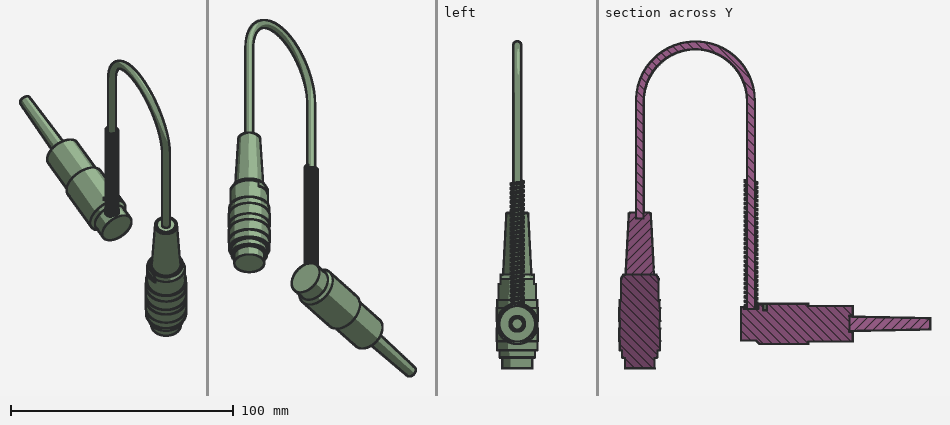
import cadquery as cq
total_height = 146.8
sensor_axis_z = 20.0
plug_axis_x = 130.4
leg_spacing = 49.9
spring_axis_x = plug_axis_x - leg_spacing

stem_length = 36.3
stem_tip_diameter = 5.1
stem_base_diameter = 6.6

sleeve_diameter = 16.0
sleeve_start_x = 34.8
stem_recess_diameter = 7.0
sleeve_end_x = 54.8
barrel_diameter = 18.2
barrel_end_x = 78.2
barrel_chamfer_length = 1.6
cap_diameter = 15.1
cap_end_x = 85.0
vent_x = 74.1
vent_diameter = 1.5
vent_depth = 3.0

spring_diameter = 6.0
wire_diameter = 0.9
spring_pitch = 2.0
spring_turns = 28.5
spring_start_angle = 180
spring_bottom_z = 26.7
spring_socket_diameter = 6.5

cable_diameter = 3.7
bend_radius = leg_spacing / 2
bend_center_z = total_height - cable_diameter / 2 - bend_radius

nose_diameter = 13.5
nose_top_z = 4.5
collar_diameter = 16.0
collar_chamfer = 0.5
collar_top_z = 8.0
ring_diameter = 18.2
edge_chamfer = 0.3
ring_top_z = 12.0
grip_diameter = 18.5
groove_diameter = 18.0
groove_bottom_z = 17.9
groove_top_z = 21.1
grip_top_z = 27.0
band_top_z = 30.7
nut_diameter = 17.0
nut_top_diameter = 14.8
nut_chamfer_height = 1.9
plug_top_z = 42.0
flat_spacing = 15.1
flat_bottom_z = 37.9

boot_top_z = 70.0
boot_bottom_diameter = 12.9
boot_top_diameter = 10.0
boot_rim_diameter = 8.4
boot_chamfer_height = 0.6
cable_socket_depth = 3.0
cable_end_z = boot_top_z - cable_socket_depth


def turned_along_x(profile):
    """Solid of revolution about the sensor axis, from (x, radius) points."""
    return (
        cq.Workplane("XZ", origin=(0, 0, sensor_axis_z))
        .polyline(profile)
        .close()
        .revolve(360, (0, 0, 0), (1, 0, 0))
    )


def turned_along_z(profile):
    """Solid of revolution about the plug axis, from (radius, z) points."""
    return (
        cq.Workplane("XZ", origin=(plug_axis_x, 0, 0))
        .polyline(profile)
        .close()
        .revolve(360, (0, 0, 0), (0, 1, 0))
    )


def upright_cylinder(axis_x, diameter, bottom_z, top_z):
    return cq.Workplane("XY", origin=(axis_x, 0, bottom_z)).circle(diameter / 2).extrude(top_z - bottom_z)


def make_stem():
    return turned_along_x([
        (0, 0),
        (0, stem_tip_diameter / 2),
        (stem_length, stem_base_diameter / 2),
        (stem_length, 0),
    ])


def make_sensor_body():
    body = turned_along_x([
        (stem_length, 0),
        (stem_length, stem_recess_diameter / 2),
        (sleeve_start_x, stem_recess_diameter / 2),
        (sleeve_start_x, sleeve_diameter / 2),
        (sleeve_end_x, sleeve_diameter / 2),
        (sleeve_end_x, barrel_diameter / 2),
        (barrel_end_x - barrel_chamfer_length, barrel_diameter / 2),
        (barrel_end_x, cap_diameter / 2),
        (cap_end_x, cap_diameter / 2),
        (cap_end_x, 0),
    ])
    barrel_top_z = sensor_axis_z + barrel_diameter / 2
    spring_socket = upright_cylinder(spring_axis_x, spring_socket_diameter, spring_bottom_z, barrel_top_z)
    vent = upright_cylinder(vent_x, vent_diameter, barrel_top_z - vent_depth, barrel_top_z)
    return body.cut(spring_socket).cut(vent)


def make_spring():
    coil_radius = (spring_diameter - wire_diameter) / 2
    helix = cq.Wire.makeHelix(spring_pitch, spring_pitch * spring_turns, coil_radius)
    coil = (
        cq.Workplane("XZ", origin=(coil_radius, 0, 0))
        .circle(wire_diameter / 2)
        .sweep(cq.Workplane(helix), isFrenet=True)
    )
    coil = coil.rotate((0, 0, 0), (0, 0, 1), spring_start_angle)
    return coil.translate((spring_axis_x, 0, spring_bottom_z + wire_diameter / 2))


def make_cable():
    path = (
        cq.Workplane("XZ")
        .moveTo(spring_axis_x, spring_bottom_z)
        .lineTo(spring_axis_x, bend_center_z)
        .threePointArc((spring_axis_x + bend_radius, bend_center_z + bend_radius), (plug_axis_x, bend_center_z))
        .lineTo(plug_axis_x, cable_end_z)
    )
    return cq.Workplane("XY", origin=(spring_axis_x, 0, spring_bottom_z)).circle(cable_diameter / 2).sweep(path)


def make_boot():
    boot = turned_along_z([
        (0, plug_top_z),
        (boot_bottom_diameter / 2, plug_top_z),
        (boot_top_diameter / 2, boot_top_z - boot_chamfer_height),
        (boot_rim_diameter / 2, boot_top_z),
        (0, boot_top_z),
    ])
    return boot.cut(upright_cylinder(plug_axis_x, cable_diameter, cable_end_z, boot_top_z))


def make_plug():
    plug = turned_along_z([
        (0, 0),
        (nose_diameter / 2, 0),
        (nose_diameter / 2, nose_top_z),
        (collar_diameter / 2 - collar_chamfer, nose_top_z),
        (collar_diameter / 2, nose_top_z + collar_chamfer),
        (collar_diameter / 2, collar_top_z),
        (ring_diameter / 2 - edge_chamfer, collar_top_z),
        (ring_diameter / 2, collar_top_z + edge_chamfer),
        (ring_diameter / 2, ring_top_z),
        (grip_diameter / 2, ring_top_z + edge_chamfer),
        (grip_diameter / 2, groove_bottom_z),
        (groove_diameter / 2, groove_bottom_z),
        (groove_diameter / 2, groove_top_z),
        (grip_diameter / 2, groove_top_z),
        (grip_diameter / 2, grip_top_z),
        (groove_diameter / 2, grip_top_z),
        (groove_diameter / 2, band_top_z),
        (nut_diameter / 2, band_top_z),
        (nut_diameter / 2, plug_top_z - nut_chamfer_height),
        (nut_top_diameter / 2, plug_top_z),
        (0, plug_top_z),
    ])
    flat_height = plug_top_z - flat_bottom_z
    for side in (-1, 1):
        cutter = cq.Workplane("XY").box(nut_diameter, nut_diameter, flat_height, centered=(True, True, False))
        offset_y = side * (flat_spacing + nut_diameter) / 2
        plug = plug.cut(cutter.translate((plug_axis_x, offset_y, flat_bottom_z)))
    return plug


stem = make_stem()
sensor_body = make_sensor_body()
spring = make_spring()
cable = make_cable()
boot = make_boot()
plug = make_plug()

result = cq.Compound.makeCompound([
    stem.val(),
    sensor_body.val(),
    spring.val(),
    cable.val(),
    boot.val(),
    plug.val(),
])